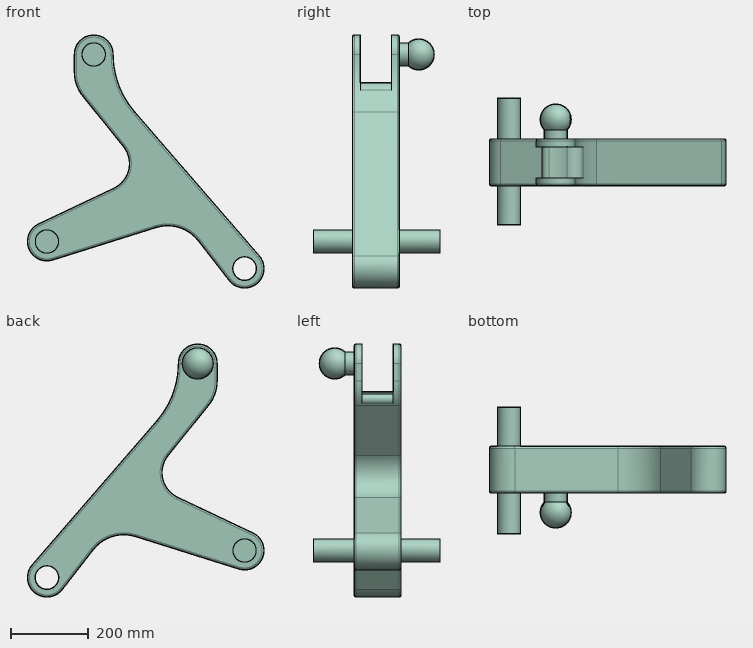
import cadquery as cq
import math

PIN_AXIS = (0, 0)
FORK_AXIS = (120.0, 480.0)
BORE_AXIS = (507.5, -69.5)

END_RADIUS = 50.0
THICKNESS = 120.0
EDGE_FILLET = 5.0
INNER_CORNER = (252.0, 175.0)
INNER_CORNER_RADIUS = 70.0
LOWER_CORNER = (346.0, 56.5)
LOWER_CORNER_RADIUS = 100.0
OUTER_BEND_RADIUS = 100.0
OUTER_BEND_HEIGHT = 400.0
BACK_BEND_RADIUS = 225.0

EAR_THICKNESS = 20.0
SLOT_RADIUS = 80.0
BAND_SIZE = 2599
LEFT_FLOOR_RADIUS = 15.0
RIGHT_FLOOR_RADIUS = 32.0

BORE_DIAMETER = 60.0
PIN_FRONT_LENGTH = 100.0
PIN_LENGTH = 325
NECK_ROOT = 1.0
BALL_DIAMETER = 80.0
BALL_OFFSET = 50.0

FRONT = -THICKNESS / 2
BACK = THICKNESS / 2


def polar(center, radius, angle):
    return (center[0] + radius * math.cos(angle), center[1] + radius * math.sin(angle))


def tangent_point(center, target, side):
    """Point on an arm end where the line to target touches; side +1 is counterclockwise."""
    dx = target[0] - center[0]
    dz = target[1] - center[1]
    swing = math.acos(END_RADIUS / math.hypot(dx, dz))
    return polar(center, END_RADIUS, math.atan2(dz, dx) + side * swing)


def far_point(center, target):
    """Point on an arm end directly opposite the target."""
    return polar(center, -END_RADIUS, math.atan2(target[1] - center[1], target[0] - center[0]))


def cylinder(axis, diameter, y_start, y_end):
    start = cq.Vector(axis[0], y_start, axis[1])
    solid = cq.Solid.makeCylinder(diameter / 2, y_end - y_start, start, cq.Vector(0, 1, 0))
    return cq.Workplane(obj=solid)


def prism(sketch):
    """Extrude a closed XZ outline through the full thickness."""
    return sketch.extrude(THICKNESS / 2, both=True)


def lever_blank():
    fork_left = (FORK_AXIS[0] - END_RADIUS, FORK_AXIS[1])
    fork_right = (FORK_AXIS[0] + END_RADIUS, FORK_AXIS[1])
    fork_top = (FORK_AXIS[0], FORK_AXIS[1] + END_RADIUS)
    outer_bend = (fork_left[0], OUTER_BEND_HEIGHT)

    pin_upper = tangent_point(PIN_AXIS, INNER_CORNER, 1)
    pin_lower = tangent_point(PIN_AXIS, LOWER_CORNER, -1)
    bore_lower = tangent_point(BORE_AXIS, LOWER_CORNER, 1)

    bend_center = (fork_right[0] + BACK_BEND_RADIUS, FORK_AXIS[1])
    dx = BORE_AXIS[0] - bend_center[0]
    dz = BORE_AXIS[1] - bend_center[1]
    swing = math.acos((BACK_BEND_RADIUS + END_RADIUS) / math.hypot(dx, dz))
    normal = math.atan2(dz, dx) - swing
    bend_end = polar(bend_center, BACK_BEND_RADIUS, normal)
    bend_middle = polar(bend_center, BACK_BEND_RADIUS, (normal - math.pi) / 2)
    bore_upper = polar(BORE_AXIS, END_RADIUS, normal + math.pi)

    blank = prism(
        cq.Workplane("XZ")
        .moveTo(*fork_left)
        .threePointArc(fork_top, fork_right)
        .threePointArc(bend_middle, bend_end)
        .lineTo(*bore_upper)
        .threePointArc(far_point(BORE_AXIS, LOWER_CORNER), bore_lower)
        .lineTo(*LOWER_CORNER)
        .lineTo(*pin_lower)
        .threePointArc(far_point(PIN_AXIS, INNER_CORNER), pin_upper)
        .lineTo(*INNER_CORNER)
        .lineTo(*outer_bend)
        .close()
    )
    corners = (
        (outer_bend, OUTER_BEND_RADIUS),
        (INNER_CORNER, INNER_CORNER_RADIUS),
        (LOWER_CORNER, LOWER_CORNER_RADIUS),
    )
    for corner, radius in corners:
        nearest = cq.selectors.NearestToPointSelector((corner[0], 0, corner[1]))
        blank = blank.edges("|Y").edges(nearest).fillet(radius)
    return blank


def fork_slot(blank):
    """Space between the ears: everything above a hollow floor with rounded edges."""
    slot_width = THICKNESS - 2 * EAR_THICKNESS
    floor = blank.cut(cylinder(FORK_AXIS, 2 * SLOT_RADIUS, FRONT, BACK))
    hollow_bottom = FORK_AXIS[1] - SLOT_RADIUS
    for side, radius in ((-1, LEFT_FLOOR_RADIUS), (1, RIGHT_FLOOR_RADIUS)):
        rim = (FORK_AXIS[0] + side * END_RADIUS, 0, hollow_bottom)
        floor = floor.edges("|Y").edges(cq.selectors.NearestToPointSelector(rim)).fillet(radius)
    band = cq.Workplane("XY").box(BAND_SIZE, slot_width, BAND_SIZE)
    return blank.cut(floor).intersect(band)


blank = lever_blank()
slot = fork_slot(blank)
body = blank.faces("<Y or >Y").edges().fillet(EDGE_FILLET)
body = body.cut(slot)

for axis in (BORE_AXIS, FORK_AXIS):
    body = body.cut(cylinder(axis, BORE_DIAMETER, FRONT, BACK))

pin_front = FRONT - PIN_FRONT_LENGTH
pin = cylinder(PIN_AXIS, BORE_DIAMETER, pin_front, pin_front + PIN_LENGTH)

ball_y = BACK + BALL_OFFSET
ball = cq.Workplane("XY").sphere(BALL_DIAMETER / 2).translate((FORK_AXIS[0], ball_y, FORK_AXIS[1]))
neck = cylinder(FORK_AXIS, BORE_DIAMETER, BACK - NECK_ROOT, ball_y)

result = body.union(pin).union(neck).union(ball)